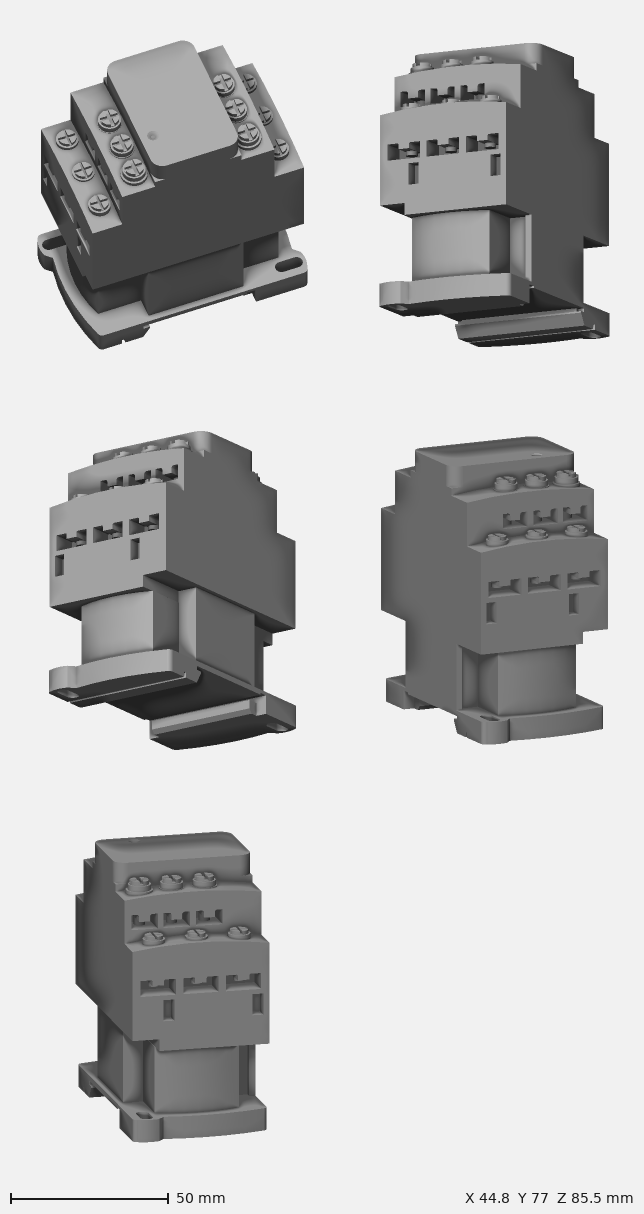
import cadquery as cq

WIDTH = 44.8
HEIGHT = 85.55
HALF_WIDTH = WIDTH / 2

CAP_BOTTOM = 78.7
CAP_DEPTH = 29.4
CAP_CORNER_RADIUS = 4.0
INDICATOR_X = 9.75
INDICATOR_Y = -10.4
INDICATOR_RADIUS = 1.9
INDICATOR_FLOOR_RADIUS = 0.7
INDICATOR_DEPTH = 0.8

SHOULDER_HALF_DEPTH = CAP_DEPTH / 2
UPPER_HALF_DEPTH = 25.9
UPPER_EDGE_Z = 76.3
UPPER_CROWN_Z = 77.85
LOWER_HALF_DEPTH = 36.0
LOWER_EDGE_Z = 62.1
LOWER_CROWN_Z = 63.8
OVERHANG_Z = 29.0

NOTCH_X = 13.6
NOTCH_TOP = 32.85

SIDE_WALL = 2.05
WAIST_HALF_DEPTH = 16.2
SIDE_WALL_HALF_DEPTH = 18.3
COIL_HALF_WIDTH = 13.8
COIL_EDGE_Y = 30.7
COIL_CROWN_Y = 33.2

BASE_TOP = 7.3
BASE_EDGE_Y = 33.4
BASE_CROWN_Y = 37.0
BASE_CORNER_RADIUS = 1.7
EAR_TIP_X = 17.4
EAR_TIP_Y = 38.5
EAR_CORNER_X = 21.0
EAR_CORNER_Y = 37.6
EAR_OUTER_Y = 35.9
EAR_INNER_X = 14.1
EAR_INNER_Y = 38.0
EAR_STEP_X = 13.4
EAR_STEP_Y = 37.2
EAR_ROOT_X = 12.15
EAR_ROOT_Y = 35.85
EAR_SLOT_X = 17.6
EAR_SLOT_RADIUS = 2.05
EAR_SLOT_NEAR_Y = 30.2
EAR_SLOT_FAR_Y = 35.25

CHANNEL_TOP = 5.6
CHANNEL_BACK_Y = 16.6
HOOK_TOP = 4.3
UNDERCUT_TOP = 6.2
UNDERCUT_Y = 19.7
BACK_HOOK_Y = 15.7
BACK_HOOK_CHAMFER_Y = 1.2
BACK_HOOK_CHAMFER_Z = 1.45
BACK_HOOK_HALF_WIDTH = 18.7
FRONT_WALL_Y = -17.3
FRONT_HOOK_Y = -16.4
FRONT_HOOK_LIP_Z = 3.8
FRONT_HOOK_FOOT_Y = -18.8
FRONT_RELIEF_Y = -18.65
GROOVE_Y = -25.4
GROOVE_WIDTH = 1.2
GROOVE_DEPTH = 1.7

UPPER_SCREW_X = [-5.4, 5.3, 15.8]
UPPER_SCREW_Y = 19.3
UPPER_SCREW_TOP = 81.1
UPPER_CROWN_BOTTOM = 79.7
UPPER_CROWN_RADIUS = 3.1
UPPER_HEAD_RADIUS = 3.7
UPPER_COLLAR_TOP = 77.9
UPPER_COLLAR_BOTTOM = 75.3
UPPER_COLLAR_RADII = [4.0, 4.0, 4.4]
UPPER_SHAFT_RADIUS = 1.8
UPPER_SLOT_WIDTH = 1.3
UPPER_WINDOW_WIDTH = 8.6
UPPER_WINDOW_BOTTOM = 66.5
UPPER_WINDOW_TOP = 71.35
UPPER_WINDOW_DEPTH = 9.4
UPPER_TAB_WIDTH = 3.5
UPPER_TAB_BOTTOM = 68.95
UPPER_TAB_FILLET = 0.85

LOWER_SCREW_X = [-13.95, 0.0, 13.95]
LOWER_SCREW_Y = 30.4
LOWER_SCREW_TOP = 65.7
LOWER_CROWN_BOTTOM = 64.5
LOWER_CROWN_RADIUS = 2.9
LOWER_HEAD_RADIUS = 3.6
LOWER_HEAD_BOTTOM = 62.45
LOWER_SHAFT_RADIUS = 1.9
LOWER_SHAFT_BOTTOM = 49.1
LOWER_SLOT_WIDTH = 0.85
LOWER_WINDOW_WIDTH = 11.55
LOWER_WINDOW_BOTTOM = 47.1
LOWER_WINDOW_TOP = 52.35
LOWER_WINDOW_DEPTH = 8.55
LOWER_TAB_WIDTH = 3.8
LOWER_TAB_BOTTOM = 50.5
LOWER_TAB_FILLET = 0.5
SCREW_SLOT_DEPTH = 1.0

MARKER_X = [-18.65, 10.4]
MARKER_WIDTH = 3.5
MARKER_BOTTOM = 38.7
MARKER_TOP = 45.6
MARKER_DEPTH = 4.3

FRONT_AND_BACK = [-1, 1]
LEFT_AND_RIGHT = [-1, 1]


def box(x0, x1, y0, y1, z0, z1):
    """Axis-aligned box between opposite corners."""
    return cq.Workplane("XY").box(x1 - x0, y1 - y0, z1 - z0, centered=False).translate((x0, y0, z0))


def disc(radius, z0, z1):
    """Upright cylinder on the Z axis."""
    return cq.Workplane("XY").workplane(offset=z0).circle(radius).extrude(z1 - z0)


def half_turn(shape):
    """Copy of a shape turned half a turn about Z."""
    return shape.rotate((0, 0, 0), (0, 0, 1), 180)


def arched_tier(half_depth, edge_z, crown_z):
    """Full-width tier with a top that is arched across X."""
    return (
        cq.Workplane("XZ", origin=(0, half_depth, 0))
        .moveTo(-HALF_WIDTH, OVERHANG_Z)
        .lineTo(HALF_WIDTH, OVERHANG_Z)
        .lineTo(HALF_WIDTH, edge_z)
        .threePointArc((0, crown_z), (-HALF_WIDTH, edge_z))
        .close()
        .extrude(2 * half_depth)
    )


def bowed_plan(half_width, edge_y, crown_y, z0, z1):
    """Upright block with its front and back bowed outward."""
    return (
        cq.Workplane("XY", origin=(0, 0, z0))
        .moveTo(-half_width, -edge_y)
        .threePointArc((0, -crown_y), (half_width, -edge_y))
        .lineTo(half_width, edge_y)
        .threePointArc((0, crown_y), (-half_width, edge_y))
        .close()
        .extrude(z1 - z0)
    )


def make_upper_shell():
    tiers = arched_tier(LOWER_HALF_DEPTH, LOWER_EDGE_Z, LOWER_CROWN_Z)
    tiers = tiers.union(arched_tier(UPPER_HALF_DEPTH, UPPER_EDGE_Z, UPPER_CROWN_Z))
    shoulder = box(
        -HALF_WIDTH, HALF_WIDTH, -SHOULDER_HALF_DEPTH, SHOULDER_HALF_DEPTH, OVERHANG_Z, CAP_BOTTOM
    )
    notch = box(NOTCH_X, HALF_WIDTH, -LOWER_HALF_DEPTH, LOWER_HALF_DEPTH, OVERHANG_Z, NOTCH_TOP)
    return tiers.union(shoulder).cut(notch)


def make_waist():
    inner_x = HALF_WIDTH - SIDE_WALL
    core = box(-HALF_WIDTH, inner_x, -WAIST_HALF_DEPTH, WAIST_HALF_DEPTH, 0, NOTCH_TOP)
    side_wall = box(-HALF_WIDTH, -inner_x, -SIDE_WALL_HALF_DEPTH, SIDE_WALL_HALF_DEPTH, 0, NOTCH_TOP)
    coil = bowed_plan(COIL_HALF_WIDTH, COIL_EDGE_Y, COIL_CROWN_Y, BASE_TOP, OVERHANG_Z)
    return core.union(side_wall).union(coil)


def make_ear():
    """Slotted mounting ear at the front-left corner of the base."""
    return (
        cq.Workplane("XY")
        .moveTo(-HALF_WIDTH, -EAR_SLOT_NEAR_Y)
        .lineTo(-HALF_WIDTH, -EAR_OUTER_Y)
        .tangentArcPoint((-EAR_CORNER_X, -EAR_CORNER_Y), relative=False)
        .threePointArc((-EAR_TIP_X, -EAR_TIP_Y), (-EAR_INNER_X, -EAR_INNER_Y))
        .lineTo(-EAR_STEP_X, -EAR_STEP_Y)
        .lineTo(-EAR_ROOT_X, -EAR_ROOT_Y)
        .lineTo(-EAR_ROOT_X, -EAR_SLOT_NEAR_Y)
        .close()
        .extrude(BASE_TOP)
    )


def make_ear_slot():
    length = EAR_SLOT_FAR_Y - EAR_SLOT_NEAR_Y + 2 * EAR_SLOT_RADIUS
    middle_y = (EAR_SLOT_FAR_Y + EAR_SLOT_NEAR_Y) / 2
    return (
        cq.Workplane("XY")
        .center(-EAR_SLOT_X, -middle_y)
        .slot2D(length, 2 * EAR_SLOT_RADIUS, 90)
        .extrude(BASE_TOP)
    )


def make_rail_channel():
    """Everything removed below the base: rail channel, hook undercuts and flex groove."""
    channel = (
        cq.Workplane("YZ", origin=(-HALF_WIDTH, 0, 0))
        .moveTo(FRONT_HOOK_FOOT_Y, 0)
        .lineTo(FRONT_HOOK_Y, FRONT_HOOK_LIP_Z)
        .lineTo(FRONT_HOOK_Y, HOOK_TOP)
        .lineTo(FRONT_WALL_Y, HOOK_TOP)
        .lineTo(FRONT_WALL_Y, CHANNEL_TOP)
        .lineTo(CHANNEL_BACK_Y, CHANNEL_TOP)
        .lineTo(CHANNEL_BACK_Y, UNDERCUT_TOP)
        .lineTo(UNDERCUT_Y, UNDERCUT_TOP)
        .lineTo(UNDERCUT_Y, HOOK_TOP)
        .lineTo(BACK_HOOK_Y, HOOK_TOP)
        .lineTo(BACK_HOOK_Y, BACK_HOOK_CHAMFER_Z)
        .lineTo(BACK_HOOK_Y + BACK_HOOK_CHAMFER_Y, 0)
        .close()
        .extrude(WIDTH)
    )
    groove = box(
        -HALF_WIDTH, HALF_WIDTH, GROOVE_Y - GROOVE_WIDTH / 2, GROOVE_Y + GROOVE_WIDTH / 2, 0, GROOVE_DEPTH
    )
    channel = channel.union(groove)
    for side in LEFT_AND_RIGHT:
        x0, x1 = sorted((side * HALF_WIDTH, side * BACK_HOOK_HALF_WIDTH))
        channel = channel.union(box(x0, x1, BACK_HOOK_Y, UNDERCUT_Y, 0, HOOK_TOP))
        x0, x1 = sorted((side * HALF_WIDTH, side * (HALF_WIDTH - SIDE_WALL)))
        channel = channel.union(box(x0, x1, FRONT_RELIEF_Y, FRONT_WALL_Y, HOOK_TOP, CHANNEL_TOP))
    return channel


def make_base():
    base = bowed_plan(HALF_WIDTH, BASE_EDGE_Y, BASE_CROWN_Y, 0, BASE_TOP)
    base = base.edges("|Z").fillet(BASE_CORNER_RADIUS)
    ear = make_ear()
    slot = make_ear_slot()
    base = base.union(ear).union(half_turn(ear))
    return base.cut(slot).cut(half_turn(slot))


def make_window(width, bottom, top, tab_width, tab_bottom, tab_fillet, depth):
    """U-shaped pocket around a hanging tab, centred on X = 0 and running from Y = 0 to +depth."""
    opening = box(-width / 2, width / 2, 0, depth, bottom, top)
    tab = box(-tab_width / 2, tab_width / 2, 0, depth, tab_bottom, top)
    tab_roots = cq.selectors.BoxSelector(
        (-tab_width, -depth, tab_bottom), (tab_width, 2 * depth, 2 * top - tab_bottom)
    )
    return opening.cut(tab).edges("|Y").edges(">Z").edges(tab_roots).fillet(tab_fillet)


def place_pair(shape, x, y):
    """A shape at (x, -y) and its mirror image at (x, +y)."""
    front = shape.translate((x, -y, 0))
    return [front, front.mirror("XZ")]


def make_pockets():
    upper = make_window(
        UPPER_WINDOW_WIDTH, UPPER_WINDOW_BOTTOM, UPPER_WINDOW_TOP,
        UPPER_TAB_WIDTH, UPPER_TAB_BOTTOM, UPPER_TAB_FILLET, UPPER_WINDOW_DEPTH,
    )
    lower = make_window(
        LOWER_WINDOW_WIDTH, LOWER_WINDOW_BOTTOM, LOWER_WINDOW_TOP,
        LOWER_TAB_WIDTH, LOWER_TAB_BOTTOM, LOWER_TAB_FILLET, LOWER_WINDOW_DEPTH,
    )
    marker = box(-MARKER_WIDTH / 2, MARKER_WIDTH / 2, 0, MARKER_DEPTH, MARKER_BOTTOM, MARKER_TOP)
    pockets = []
    for x in UPPER_SCREW_X:
        pockets += place_pair(upper, x, UPPER_HALF_DEPTH)
    for x in LOWER_SCREW_X:
        pockets += place_pair(lower, x, LOWER_HALF_DEPTH)
    for x in MARKER_X:
        pockets += place_pair(marker, x, LOWER_HALF_DEPTH)
    return pockets


def cross_slot(width, length, top):
    z0 = top - SCREW_SLOT_DEPTH
    bar = box(-length / 2, length / 2, -width / 2, width / 2, z0, top)
    return bar.union(bar.rotate((0, 0, 0), (0, 0, 1), 90))


def make_upper_screw(collar_radius):
    """Captive screw with a clamping collar, formed in one piece with the housing."""
    screw = disc(UPPER_CROWN_RADIUS, UPPER_CROWN_BOTTOM, UPPER_SCREW_TOP)
    screw = screw.union(disc(UPPER_HEAD_RADIUS, UPPER_COLLAR_TOP, UPPER_CROWN_BOTTOM))
    screw = screw.union(disc(collar_radius, UPPER_COLLAR_BOTTOM, UPPER_COLLAR_TOP))
    screw = screw.union(disc(UPPER_SHAFT_RADIUS, UPPER_WINDOW_BOTTOM, UPPER_COLLAR_BOTTOM))
    return screw.cut(cross_slot(UPPER_SLOT_WIDTH, 2 * UPPER_CROWN_RADIUS, UPPER_SCREW_TOP))


def make_lower_screw_blank():
    """Lower screw without its driver slot; also the shape of its seat in the housing."""
    screw = disc(LOWER_CROWN_RADIUS, LOWER_CROWN_BOTTOM, LOWER_SCREW_TOP)
    screw = screw.union(disc(LOWER_HEAD_RADIUS, LOWER_HEAD_BOTTOM, LOWER_CROWN_BOTTOM))
    return screw.union(disc(LOWER_SHAFT_RADIUS, LOWER_SHAFT_BOTTOM, LOWER_HEAD_BOTTOM))


def make_lower_screw():
    slot = cross_slot(LOWER_SLOT_WIDTH, 2 * LOWER_CROWN_RADIUS, LOWER_SCREW_TOP)
    return make_lower_screw_blank().cut(slot)


def make_housing():
    housing = make_upper_shell().union(make_waist()).union(make_base())
    housing = housing.cut(make_rail_channel())
    for pocket in make_pockets():
        housing = housing.cut(pocket)
    for x, collar_radius in zip(UPPER_SCREW_X, UPPER_COLLAR_RADII):
        screw = make_upper_screw(collar_radius)
        for side in FRONT_AND_BACK:
            housing = housing.union(screw.translate((x, side * UPPER_SCREW_Y, 0)))
    seat = make_lower_screw_blank()
    for x in LOWER_SCREW_X:
        for side in FRONT_AND_BACK:
            housing = housing.cut(seat.translate((x, side * LOWER_SCREW_Y, 0)))
    return housing


def make_cap():
    cap = box(-HALF_WIDTH, HALF_WIDTH, -CAP_DEPTH / 2, CAP_DEPTH / 2, CAP_BOTTOM, HEIGHT)
    cap = cap.edges("|Z").fillet(CAP_CORNER_RADIUS)
    indicator = cq.Solid.makeCone(
        INDICATOR_FLOOR_RADIUS, INDICATOR_RADIUS, INDICATOR_DEPTH,
        pnt=cq.Vector(INDICATOR_X, INDICATOR_Y, HEIGHT - INDICATOR_DEPTH),
    )
    return cap.cut(cq.Workplane(indicator))


housing = make_housing()
cap = make_cap()
lower_screws = [
    make_lower_screw().translate((x, side * LOWER_SCREW_Y, 0))
    for x in LOWER_SCREW_X
    for side in FRONT_AND_BACK
]

result = cq.Compound.makeCompound(
    [housing.val(), cap.val(), *[screw.val() for screw in lower_screws]]
)